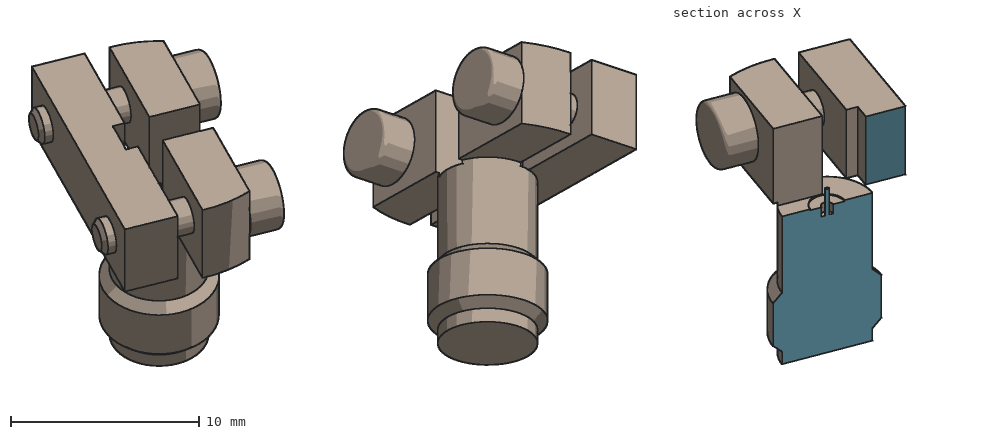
import cadquery as cq


total_height = 14.5
jaw_width = 14.0
half_width = jaw_width / 2

barrel_radius = 2.65
collar_radius = 3.19
collar_bevel = collar_radius - barrel_radius
collar_bottom = 0.8
collar_top = 4.61
barrel_top = 9.5

jaw_bottom = 9.7
jaw_front = -0.17
jaw_back = 2.7
slot_width = 2.0

pin_diameter = 0.26
pin_height = 1.0
pin_bore_diameter = 0.67
pin_bore_depth = 0.67
seat_diameter = slot_width
seat_depth = 0.07

gap = 1.4
bar_depth = 3.0
bar_height = 4.4
bar_back = jaw_front - gap
bar_front = bar_back - bar_depth
notch_depth = 0.67

screw_spacing = 9.51
screw_height = total_height - bar_height / 2
shank_diameter = 2.0
tip_overhang = 0.74
tip_chamfer = 0.26
head_diameter = 3.8
head_length = 1.99
head_rounding = 0.29

screw_positions = (-screw_spacing / 2, screw_spacing / 2)
screw_tip = bar_front - tip_overhang
shank_length = jaw_back - screw_tip


def box_between(width, y_front, y_back, z_bottom, z_top):
    """Block centred on X = 0 that spans the given Y and Z ranges."""
    block = cq.Workplane("XY").box(width, y_back - y_front, z_top - z_bottom, centered=(True, False, False))
    return block.translate((0, y_front, z_bottom))


def upright_cylinder(diameter, z_bottom, z_top):
    """Cylinder on the connector axis."""
    return cq.Workplane("XY").workplane(offset=z_bottom).circle(diameter / 2).extrude(z_top - z_bottom)


def y_cylinder(x, diameter, y_start, length):
    """Cylinder on a screw axis, running toward +Y from y_start."""
    start = cq.Plane(origin=(x, y_start, screw_height), xDir=(1, 0, 0), normal=(0, 1, 0))
    return cq.Workplane(start).circle(diameter / 2).extrude(length)


def cut_screw_holes(body):
    """Remove the two close-fitting holes for the screw shanks."""
    for x in screw_positions:
        body = body.cut(y_cylinder(x, shank_diameter, screw_tip, shank_length))
    return body


def make_barrel():
    """Turned barrel with a collar bevelled at both ends, reaching up to the jaw."""
    barrel = upright_cylinder(2 * barrel_radius, 0, jaw_bottom)
    collar = upright_cylinder(2 * collar_radius, collar_bottom, collar_top)
    collar = collar.faces("<Z or >Z").chamfer(collar_bevel)
    return barrel.union(collar)


def make_fixed_jaw():
    """Jaw plate with flat front and back and with ends rounded about the connector axis."""
    disc = upright_cylinder(jaw_width, jaw_bottom, total_height)
    return disc.intersect(box_between(jaw_width, jaw_front, jaw_back, jaw_bottom, total_height))


def cut_clearance(body):
    """Lower the barrel in front of the jaw and split the jaw with the central slot."""
    front_clearance = box_between(jaw_width, -half_width, jaw_front, barrel_top, total_height)
    slot = box_between(slot_width, jaw_front, half_width, barrel_top, total_height)
    return body.cut(front_clearance).cut(slot)


def make_housing():
    """Barrel, fixed jaw and contact pin in one piece."""
    pin_bore_bottom = barrel_top - pin_bore_depth
    seat = upright_cylinder(seat_diameter, barrel_top - seat_depth, barrel_top)
    pin_bore = upright_cylinder(pin_bore_diameter, pin_bore_bottom, barrel_top)
    pin = upright_cylinder(pin_diameter, pin_bore_bottom, barrel_top + pin_height)
    body = cut_clearance(make_barrel().union(make_fixed_jaw()))
    body = body.cut(seat).cut(pin_bore).union(pin)
    return cut_screw_holes(body)


def make_clamp_bar():
    """Straight bar with a shallow notch in its rear face."""
    bar_bottom = total_height - bar_height
    bar = box_between(jaw_width, bar_front, bar_back, bar_bottom, total_height)
    notch = box_between(slot_width, bar_back - notch_depth, bar_back, bar_bottom, total_height)
    return cut_screw_holes(bar.cut(notch))


def make_screw(x):
    """Screw with a chamfered tip and a rounded cylindrical head behind the jaw."""
    shank = y_cylinder(x, shank_diameter, screw_tip, shank_length).faces("<Y").chamfer(tip_chamfer)
    head = y_cylinder(x, head_diameter, jaw_back, head_length).faces(">Y").edges().fillet(head_rounding)
    return shank.union(head)


housing = make_housing()
clamp_bar = make_clamp_bar()
screws = [make_screw(x).val() for x in screw_positions]

result = cq.Compound.makeCompound([housing.val(), clamp_bar.val(), *screws])